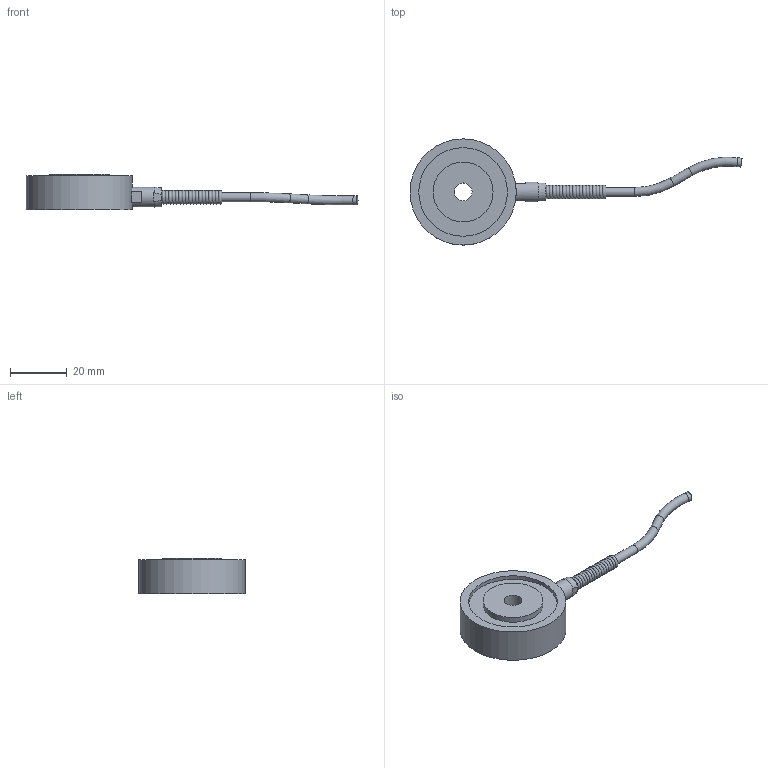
import cadquery as cq
import math

body_diameter = 37.59
overall_height = 12.7
button_rise = 0.51
rim_height = overall_height - button_rise
recess_diameter = 31.37
recess_depth = 1.5
button_diameter = 21.21
bore_diameter = 6.35

axis_height = 4.5
root_x = 15.0

connector_diameter = 7.06
nose_end_diameter = 6.55
nose_start_x = 26.85
nose_end_x = 29.25
body_flats_width = 5.89
body_flats_end_x = 22.25
nose_flats_width = 6.35
nose_flats_start_x = 26.5

ring_count = 18
ring_pitch = 1.18
ring_crest_diameter = 4.8
ring_root_diameter = ring_crest_diameter - ring_pitch
relief_end_x = nose_end_x + ring_count * ring_pitch

cable_diameter = 3.17
cable_start_x = relief_end_x - ring_pitch
bend_start_x = 60.8
bend_radius = 26.4
bend_angle = 30.0
middle_length = 7.5
return_angle = 37.5
overall_length = 117.52
tip_end_x = overall_length - body_diameter / 2
plane_tilt = 5.8


def make_body():
    rim = cq.Workplane("XY").circle(body_diameter / 2).extrude(rim_height)
    floor_height = rim_height - recess_depth
    recess = (
        cq.Workplane("XY", origin=(0, 0, floor_height))
        .circle(recess_diameter / 2)
        .extrude(recess_depth)
    )
    button = cq.Workplane("XY").circle(button_diameter / 2).extrude(overall_height)
    return rim.cut(recess).union(button)


def flats_cutter(start_x, end_x, across):
    """Two blocks that leave only the given width across Y."""
    length = end_x - start_x
    size = connector_diameter
    cutter = cq.Workplane("XY")
    for side in (-1, 1):
        center = ((start_x + end_x) / 2, side * (across + size) / 2, 0)
        cutter = cutter.union(cq.Workplane("XY").box(length, size, size).translate(center))
    return cutter


def make_connector():
    radius = connector_diameter / 2
    connector = (
        cq.Workplane("XY")
        .moveTo(root_x, 0)
        .lineTo(root_x, radius)
        .lineTo(nose_start_x, radius)
        .lineTo(nose_end_x, nose_end_diameter / 2)
        .lineTo(nose_end_x, 0)
        .close()
        .revolve(360, (0, 0, 0), (1, 0, 0))
    )
    connector = connector.cut(flats_cutter(root_x, body_flats_end_x, body_flats_width))
    return connector.cut(flats_cutter(nose_flats_start_x, nose_end_x, nose_flats_width))


def make_strain_relief():
    root = ring_root_diameter / 2
    crest = ring_crest_diameter / 2
    profile = cq.Workplane("XY").moveTo(nose_end_x, 0).lineTo(nose_end_x, root)
    for ring in range(ring_count):
        ring_x = nose_end_x + ring * ring_pitch
        profile = profile.threePointArc((ring_x + ring_pitch / 2, crest), (ring_x + ring_pitch, root))
    return profile.lineTo(relief_end_x, 0).close().revolve(360, (0, 0, 0), (1, 0, 0))


def arc_points(start, heading, turn):
    """Middle and end of a bend from start; headings in degrees, positive turn to the left."""
    side = math.copysign(1, turn)

    def after(angle):
        first = math.radians(heading)
        last = math.radians(heading + angle)
        x = start[0] + side * bend_radius * (math.sin(last) - math.sin(first))
        y = start[1] + side * bend_radius * (math.cos(first) - math.cos(last))
        return (x, y)

    return after(turn / 2), after(turn)


def make_cable():
    bend_start = (bend_start_x, 0)
    bend_middle, bend_end = arc_points(bend_start, 0, bend_angle)
    rise = math.radians(bend_angle)
    return_start = (
        bend_end[0] + middle_length * math.cos(rise),
        bend_end[1] + middle_length * math.sin(rise),
    )
    return_middle, return_end = arc_points(return_start, bend_angle, -return_angle)
    fall = math.radians(return_angle - bend_angle)
    tip_x = tip_end_x - cable_diameter / 2 * math.sin(fall)
    tip = (tip_x, return_end[1] - (tip_x - return_end[0]) * math.tan(fall))
    path = (
        cq.Workplane("XY")
        .moveTo(cable_start_x, 0)
        .lineTo(*bend_start)
        .threePointArc(bend_middle, bend_end)
        .lineTo(*return_start)
        .threePointArc(return_middle, return_end)
        .lineTo(*tip)
    )
    section = cq.Workplane("YZ", origin=(cable_start_x, 0, 0)).circle(cable_diameter / 2)
    return section.sweep(path).rotate((0, 0, 0), (1, 0, 0), -plane_tilt)


lead = make_connector().union(make_strain_relief()).union(make_cable())
bore = cq.Workplane("XY").circle(bore_diameter / 2).extrude(overall_height)
result = make_body().union(lead.translate((0, 0, axis_height))).cut(bore)